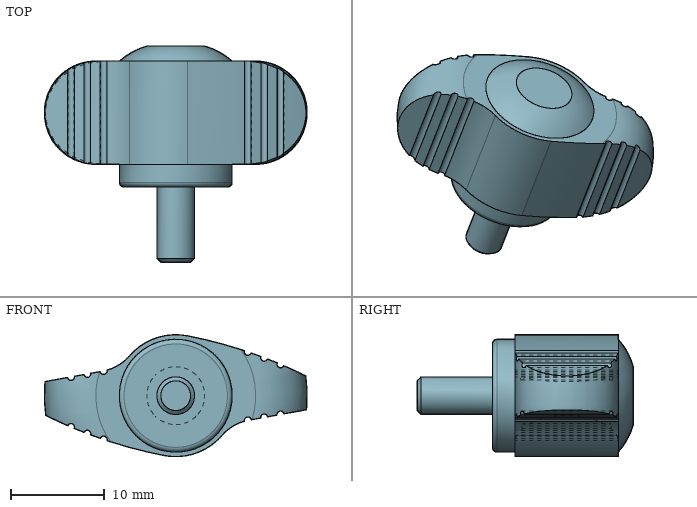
import cadquery as cq
import math

span = 28.0
wing_width = 11.0
hub_radius = 6.5
hub_convex_end_x = 1.23
convex_mid = (8.05, 4.53)
convex_tip_z = 2.02
valley_radius = 4.81
valley_start_x = -4.93
flank_angle = math.radians(10.3)

groove_radius = 0.35
groove_first_x = 7.67
groove_pitch = 1.74
groove_count = 3

dome_height = 1.6
dome_base_radius = 6.0
dome_mid = (4.8, 0.87)
dome_flat_radius = 3.08
collar_diameter = 12.0
collar_length = 2.4
collar_fillet = 0.5
pin_diameter = 4.0
pin_length = 8.0
pin_chamfer = 0.42

half_span = span / 2
half_width = wing_width / 2


def hub_point(x):
    return (x, math.sqrt(hub_radius**2 - x**2))


convex_start = hub_point(hub_convex_end_x)
convex_tip = (half_span, convex_tip_z)
valley_start = hub_point(valley_start_x)
valley_center = tuple(c * (hub_radius + valley_radius) / hub_radius for c in valley_start)


def valley_point(angle):
    return (
        valley_center[0] + valley_radius * math.sin(angle),
        valley_center[1] - valley_radius * math.cos(angle),
    )


valley_start_angle = math.asin(-valley_start_x / hub_radius)
valley_mid = valley_point((valley_start_angle + flank_angle) / 2)
valley_end = valley_point(flank_angle)


def flank_height(x):
    return valley_end[1] + (x - valley_end[0]) * math.tan(flank_angle)


flank_tip = (-half_span, flank_height(-half_span))

convex_arc = cq.Edge.makeThreePointArc(
    *[cq.Vector(x, z, 0) for x, z in (convex_start, convex_mid, convex_tip)]
)
convex_center = convex_arc.arcCenter()
convex_radius = convex_arc.radius()


def convex_height(x):
    return convex_center.y + math.sqrt(convex_radius**2 - (x - convex_center.x) ** 2)


def opposite(point):
    """The point half a turn round the Y axis."""
    return (-point[0], -point[1])


def make_wing():
    profile = (
        cq.Workplane("XZ")
        .moveTo(*flank_tip)
        .lineTo(*valley_end)
        .threePointArc(valley_mid, valley_start)
        .threePointArc((0, hub_radius), convex_start)
        .threePointArc(convex_mid, convex_tip)
        .lineTo(*opposite(flank_tip))
        .lineTo(*opposite(valley_end))
        .threePointArc(opposite(valley_mid), opposite(valley_start))
        .threePointArc((0, -hub_radius), opposite(convex_start))
        .threePointArc(opposite(convex_mid), opposite(convex_tip))
        .close()
        .extrude(half_width, both=True)
    )
    rim_start = half_span - half_width
    envelope = (
        cq.Workplane("XY")
        .moveTo(0, -half_width)
        .lineTo(rim_start, -half_width)
        .threePointArc((half_span, 0), (rim_start, half_width))
        .lineTo(0, half_width)
        .close()
        .revolve(360, (0, 0, 0), (0, 1, 0))
    )
    return profile.intersect(envelope)


def make_grooves():
    centers = []
    for i in range(groove_count):
        x = groove_first_x + i * groove_pitch
        on_convex = (x, convex_height(x))
        on_flank = (-x, flank_height(-x))
        centers += [on_convex, opposite(on_convex), on_flank, opposite(on_flank)]
    return (
        cq.Workplane("XZ").pushPoints(centers).circle(groove_radius).extrude(wing_width, both=True)
    )


def make_dome():
    return (
        cq.Workplane("XY")
        .moveTo(0, 0)
        .lineTo(dome_base_radius, 0)
        .lineTo(dome_base_radius, half_width)
        .threePointArc(
            (dome_mid[0], half_width + dome_mid[1]),
            (dome_flat_radius, half_width + dome_height),
        )
        .lineTo(0, half_width + dome_height)
        .close()
        .revolve(360, (0, 0, 0), (0, 1, 0))
    )


def make_collar():
    return (
        cq.Workplane("XZ")
        .circle(collar_diameter / 2)
        .extrude(half_width + collar_length)
        .faces("<Y")
        .edges()
        .fillet(collar_fillet)
    )


def make_pin():
    return (
        cq.Workplane("XZ")
        .circle(pin_diameter / 2)
        .extrude(half_width + collar_length + pin_length)
        .faces("<Y")
        .edges()
        .chamfer(pin_chamfer)
    )


result = make_wing().cut(make_grooves()).union(make_dome()).union(make_collar()).union(make_pin())